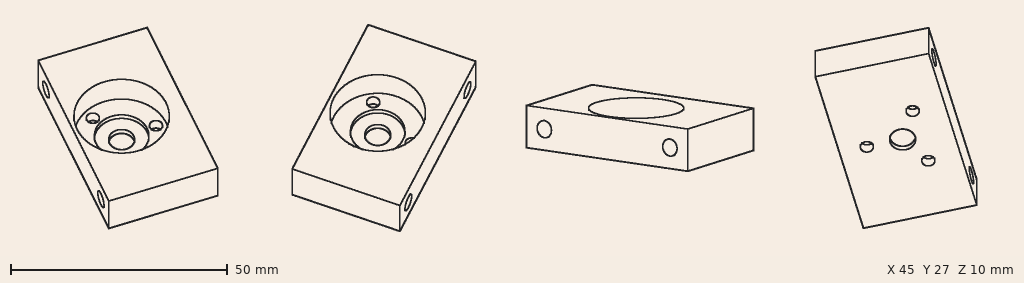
import cadquery as cq

length = 45.0
width = 27.0
height = 10.0

bore_y = -1.58
pocket_diameter = 22.0
pocket_depth = 7.2
recess_diameter = 12.6
recess_depth = 1.3
shaft_diameter = 6.0

screw_count = 3
screw_diameter = 3.0
screw_circle_radius = 8.5
first_screw_angle = 90.0

mount_diameter = 4.0
mount_edge_distance = 5.0


def round_cut(diameter, depth):
    """Cylinder on the bore axis reaching down from the top face."""
    return (
        cq.Workplane("XY", origin=(0, bore_y, height - depth))
        .circle(diameter / 2)
        .extrude(depth)
    )


def screw_holes():
    return (
        cq.Workplane("XY", origin=(0, bore_y, 0))
        .polarArray(screw_circle_radius, first_screw_angle, 360, screw_count)
        .circle(screw_diameter / 2)
        .extrude(height)
    )


def mounting_holes():
    mount_x = length / 2 - mount_edge_distance
    return (
        cq.Workplane("XZ", origin=(0, 0, height / 2))
        .pushPoints([(-mount_x, 0), (mount_x, 0)])
        .circle(mount_diameter / 2)
        .extrude(width / 2, both=True)
    )


block = cq.Workplane("XY").box(length, width, height, centered=(True, True, False))
result = (
    block.cut(round_cut(pocket_diameter, pocket_depth))
    .cut(round_cut(recess_diameter, pocket_depth + recess_depth))
    .cut(round_cut(shaft_diameter, height))
    .cut(screw_holes())
    .cut(mounting_holes())
)